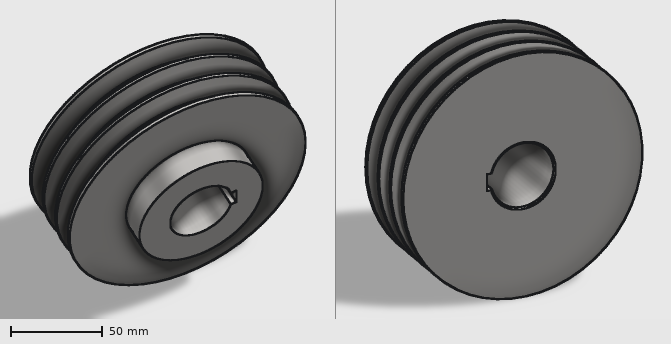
import cadquery as cq
import math


outer_diameter = 145.5
rim_width = 48.0
total_width = 64.0
hub_diameter = 76.0

groove_count = 3
groove_pitch = 15.0
groove_angle = 38.0
datum_diameter = 140.0
datum_width = 11.0
groove_root_diameter = 122.6

bore_diameter = 38.0
bore_chamfer = 1.0
keyway_width = 10.0
keyway_reach = 40.7

outer_radius = outer_diameter / 2
bore_radius = bore_diameter / 2
groove_root_radius = groove_root_diameter / 2
first_groove_x = (rim_width - (groove_count - 1) * groove_pitch) / 2


def groove_half_width(radius):
    """Half the axial width of a groove at the given radius."""
    flank_slope = math.tan(math.radians(groove_angle / 2))
    return datum_width / 2 + (radius - datum_diameter / 2) * flank_slope


def make_blank():
    """Half section of the rim and hub, turned about the X axis."""
    half_top = groove_half_width(outer_radius)
    half_root = groove_half_width(groove_root_radius)
    hub_radius = hub_diameter / 2

    profile = cq.Workplane("XY").lineTo(0, outer_radius)
    for index in range(groove_count):
        center_x = first_groove_x + index * groove_pitch
        profile = (
            profile.lineTo(center_x - half_top, outer_radius)
            .lineTo(center_x - half_root, groove_root_radius)
            .lineTo(center_x + half_root, groove_root_radius)
            .lineTo(center_x + half_top, outer_radius)
        )
    profile = (
        profile.lineTo(rim_width, outer_radius)
        .lineTo(rim_width, hub_radius)
        .lineTo(total_width, hub_radius)
        .lineTo(total_width, 0)
        .close()
    )
    return profile.revolve(360, (0, 0, 0), (1, 0, 0))


def make_bore():
    """Through bore, widened by a chamfer at the rim face."""
    return (
        cq.Workplane("XY")
        .lineTo(0, bore_radius + bore_chamfer)
        .lineTo(bore_chamfer, bore_radius)
        .lineTo(total_width, bore_radius)
        .lineTo(total_width, 0)
        .close()
        .revolve(360, (0, 0, 0), (1, 0, 0))
    )


def make_keyway():
    """Full-length keyway on the +Y side of the bore."""
    keyway_floor_y = keyway_reach - bore_radius
    return cq.Workplane("XY").box(
        total_width, keyway_floor_y, keyway_width, centered=(False, False, True)
    )


result = make_blank().cut(make_bore()).cut(make_keyway())